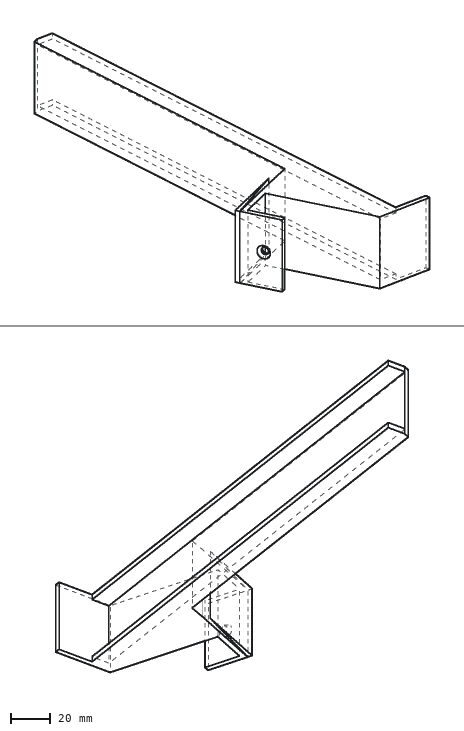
import cadquery as cq
import math

length = 253.5
depth = 143.2
height = 40.0
sheet = 3.0

slope = math.radians(24.0)
arm_length = 264.2
arm_depth = 13.2
flange_rise = 20.0

post_x = 174.0
post_lean = 0.3
lean_start_y = 43.5
ledge_y = 23.8
foot_end_x = 197.2

hole_x = 187.0
hole_diameter = 4.0
sink_diameter = 7.4
sink_angle = 90.0

wedge_width = 2.5
wedge_length = 40.0

arm_start_x = length - arm_length * math.cos(slope) - flange_rise * math.sin(slope)


def on_arm(along, across):
    """Point at a distance along the rim line of the arm and square to it."""
    x = arm_start_x + along * math.cos(slope) + across * math.sin(slope)
    y = depth - along * math.sin(slope) + across * math.cos(slope)
    return (x, y)


def underside_y(x):
    """Height in Y of the underside of the arm at a given X."""
    start_x, start_y = on_arm(0, -arm_depth)
    return start_y - (x - start_x) * math.tan(slope)


def extrude_outline(points, bottom, thickness):
    return cq.Workplane("XY").workplane(offset=bottom).polyline(points).close().extrude(thickness)


def make_bracket():
    cut_corner = on_arm(0, -arm_start_x / math.sin(slope))
    post_top_x = post_x + post_lean
    flange_foot_x = length - (on_arm(arm_length, flange_rise)[1] - ledge_y) * math.tan(slope)
    outline = [
        on_arm(0, 0),
        cut_corner,
        (0, underside_y(0)),
        (post_top_x, underside_y(post_top_x)),
        (post_x, lean_start_y),
        (post_x, 0),
        (foot_end_x, 0),
        (foot_end_x, sheet),
        (post_x + sheet, sheet),
        (post_x + sheet, ledge_y),
        (flange_foot_x, ledge_y),
        on_arm(arm_length, flange_rise),
        on_arm(arm_length - sheet, flange_rise),
        on_arm(arm_length - sheet, 0),
    ]
    body = extrude_outline(outline, 0, height)

    floor = sheet - arm_depth
    overrun = arm_depth
    channel = [
        on_arm(-overrun, floor),
        on_arm(arm_length - sheet, floor),
        on_arm(arm_length - sheet, flange_rise),
        on_arm(-overrun, flange_rise),
    ]
    body = body.cut(extrude_outline(channel, sheet, height - 2 * sheet))

    sink_depth = (sink_diameter - hole_diameter) / 2 / math.tan(math.radians(sink_angle / 2))
    center = cq.Vector(hole_x, 0, height / 2)
    inward = cq.Vector(0, 1, 0)
    hole = cq.Solid.makeCylinder(hole_diameter / 2, sheet, center, inward)
    sink = cq.Solid.makeCone(sink_diameter / 2, hole_diameter / 2, sink_depth, center, inward)
    return body.cut(cq.Workplane(hole)).cut(cq.Workplane(sink))


def make_wedge():
    """Thin wedge that meets the lower corner of the post and tapers to a sharp edge."""
    outline = [
        (post_x - wedge_width, 0),
        (post_x, 0),
        (post_x - wedge_width, wedge_length),
    ]
    return extrude_outline(outline, 0, height)


bracket = make_bracket()
wedge = make_wedge()

result = cq.Compound.makeCompound([bracket.val(), wedge.val()])